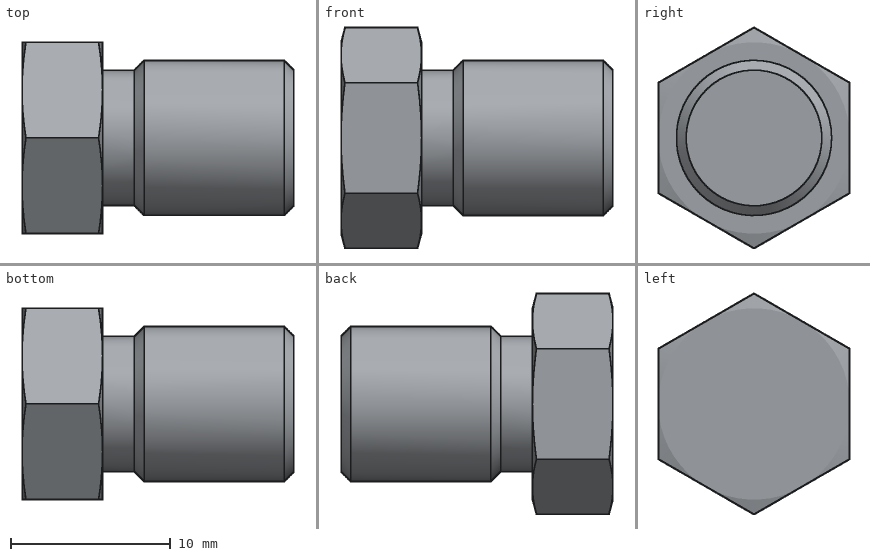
import cadquery as cq
import math

total_length = 17.05
head_length = 5.05
across_flats = 12.0
across_corners = across_flats / math.cos(math.radians(30))
head_chamfer_angle = 15

neck_diameter = 8.5
neck_length = 2.0
shank_diameter = 9.74
end_diameter = neck_diameter


def revolve_about_x(profile):
    """Turn a closed profile drawn in (X, radius) into a solid about the X axis."""
    return cq.Workplane("XY").polyline(profile).close().revolve(360, (0, 0, 0), (1, 0, 0))


def make_head():
    """Hexagon with corners up and down, turned to a shallow cone on both faces."""
    hexagon = (
        cq.Workplane("YZ")
        .polygon(6, across_corners)
        .extrude(head_length)
        .rotate((0, 0, 0), (1, 0, 0), 90)
    )
    face_radius = across_flats / 2
    corner_radius = across_corners / 2
    cone_depth = (corner_radius - face_radius) * math.tan(math.radians(head_chamfer_angle))
    envelope = revolve_about_x([
        (0, 0),
        (0, face_radius),
        (cone_depth, corner_radius),
        (head_length - cone_depth, corner_radius),
        (head_length, face_radius),
        (head_length, 0),
    ])
    return hexagon.intersect(envelope)


def make_shank():
    """Undercut neck, 45 degree lead-in, full-diameter body and chamfered end."""
    neck_radius = neck_diameter / 2
    shank_radius = shank_diameter / 2
    end_radius = end_diameter / 2
    neck_end = head_length + neck_length
    lead_in = shank_radius - neck_radius
    end_chamfer = shank_radius - end_radius
    return revolve_about_x([
        (head_length, 0),
        (head_length, neck_radius),
        (neck_end, neck_radius),
        (neck_end + lead_in, shank_radius),
        (total_length - end_chamfer, shank_radius),
        (total_length, end_radius),
        (total_length, 0),
    ])


result = make_head().union(make_shank())